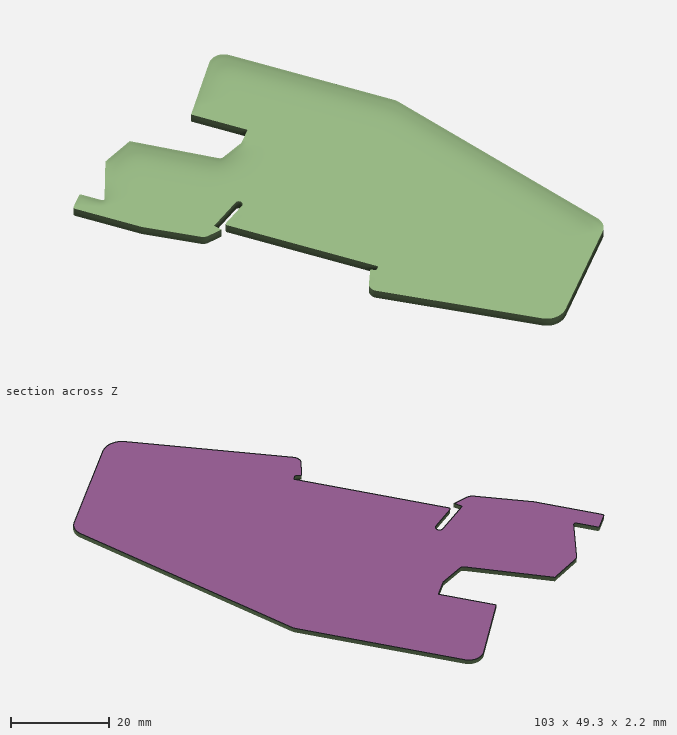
import cadquery as cq
import math

length = 103.0
height = 49.3
thickness = 2.2

foot_top = 4.0
foot_neck_x = 5.4
nose = (2.0, 14.0)
shoulder = (4.7, 20.8)
foot_bend_x = 14.8
underside_angle = 7.4
heel_x = 27.8
latch_tip = (30.3, 4.8)

notch_root = (23.8, 22.7)
notch_wall_x = 26.2
notch_wall_bottom = 28.0
notch_roof = 31.7
notch_mouth_x = 14.0

top_left_x = 12.5
slope_start_x = 51.8
slope_end_y = 32.8

rail_y = 6.3
hook_root_x = 63.4
hook_lip = (62.2, 4.9)
hook_recess_y = 5.3
hook_toe = (63.7, -0.2)

slot_lean = math.radians(15)
slot_width = 1.5
slot_top = 13.2
slot_left_foot_y = 5.3
slot_right_foot_x = 30.4

body_radius = 3.1
lower_right_radius = 4.1
slope_radius = 3.1
hook_radius = 1.9
heel_radius = 2.1
notch_radius = 1.0
small_radius = 0.4

underside_slope = math.tan(math.radians(underside_angle))
heel = (heel_x, (heel_x - foot_bend_x) * underside_slope)
lower_right = (length, hook_toe[1] + (length - hook_toe[0]) * underside_slope)

slot_radius = slot_width / 2
end_y = slot_top - slot_radius
along = (math.sin(slot_lean), math.cos(slot_lean))
across = (math.cos(slot_lean), -math.sin(slot_lean))
end_x = slot_right_foot_x + (end_y - rail_y) * math.tan(slot_lean) - slot_radius / math.cos(slot_lean)


def slot_point(sideways, forward):
    """Point offset from the centre of the slot's round end."""
    return (
        end_x + sideways * across[0] + forward * along[0],
        end_y + sideways * across[1] + forward * along[1],
    )


slot_left_foot = slot_point(-slot_radius, 0)
slot_left_foot_x = slot_left_foot[0] - (slot_left_foot[1] - slot_left_foot_y) * math.tan(slot_lean)


def plate():
    """Plate with sharp corners, outlined counterclockwise from the slot's round end."""
    return (
        cq.Workplane("XY")
        .moveTo(*slot_point(-slot_radius, 0))
        .threePointArc(slot_point(0, slot_radius), slot_point(slot_radius, 0))
        .lineTo(slot_right_foot_x, rail_y)
        .lineTo(hook_root_x, rail_y)
        .lineTo(hook_root_x, hook_recess_y)
        .lineTo(*hook_lip)
        .lineTo(*hook_toe)
        .lineTo(*lower_right)
        .lineTo(length, slope_end_y)
        .lineTo(slope_start_x, height)
        .lineTo(top_left_x, height)
        .lineTo(notch_mouth_x, notch_roof)
        .lineTo(notch_wall_x, notch_roof)
        .lineTo(notch_wall_x, notch_wall_bottom)
        .lineTo(*notch_root)
        .lineTo(*shoulder)
        .lineTo(*nose)
        .lineTo(foot_neck_x, foot_top)
        .lineTo(0, foot_top)
        .lineTo(0, 0)
        .lineTo(foot_bend_x, 0)
        .lineTo(*heel)
        .lineTo(*latch_tip)
        .lineTo(slot_left_foot_x, slot_left_foot_y)
        .close()
        .extrude(thickness)
    )


def round_corner(body, corner, radius):
    """Fillet the upright edge that stands at the given outline corner."""
    middle = (corner[0], corner[1], thickness / 2)
    return body.edges("|Z").edges(cq.selectors.NearestToPointSelector(middle)).fillet(radius)


rounded_corners = [
    ((top_left_x, height), body_radius),
    ((slope_start_x, height), slope_radius),
    ((length, slope_end_y), body_radius),
    (lower_right, lower_right_radius),
    (hook_toe, hook_radius),
    (heel, heel_radius),
    (notch_root, notch_radius),
    ((0, 0), small_radius),
    ((0, foot_top), small_radius),
    ((foot_neck_x, foot_top), small_radius),
    (nose, small_radius),
    ((slot_right_foot_x, rail_y), small_radius),
    ((hook_root_x, hook_recess_y), small_radius),
]

result = plate()
for corner, radius in rounded_corners:
    result = round_corner(result, corner, radius)